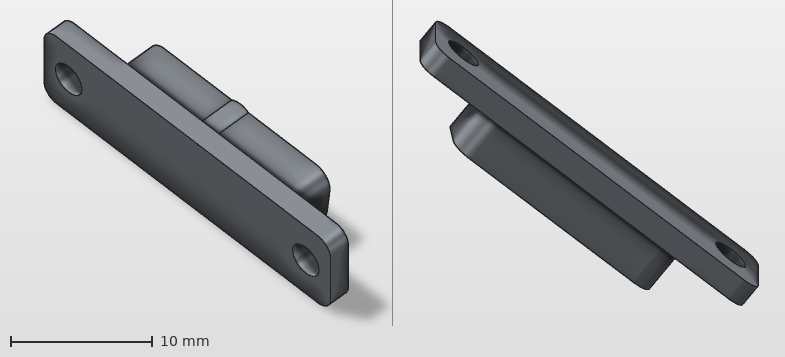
import cadquery as cq
import math

plate_length = 29.0
plate_height = 7.0
plate_thickness = 1.77
plate_corner_radius = 1.28
hole_diameter = 2.67
hole_spacing = 24.0

total_depth = 5.2
boss_depth = total_depth - plate_thickness
boss_width = 18.2
boss_height = 5.35
boss_corner_radius = 1.48
side_tilt = math.radians(6.5)

key_width = 1.68
key_rise = 0.25


def make_plate():
    plate = cq.Workplane("XZ").rect(plate_length, plate_height).extrude(-plate_thickness)
    plate = plate.edges("|Y").fillet(plate_corner_radius)
    holes = (
        cq.Workplane("XZ")
        .pushPoints([(-hole_spacing / 2, 0), (hole_spacing / 2, 0)])
        .circle(hole_diameter / 2)
        .extrude(-plate_thickness)
    )
    return plate.cut(holes)


def make_boss():
    corner_centre_x = boss_width / 2 - boss_corner_radius
    corner_reach = boss_corner_radius * (1 + math.sin(side_tilt)) / math.cos(side_tilt)
    top_x = corner_centre_x + corner_reach
    bottom_x = top_x - boss_height * math.tan(side_tilt)
    half_height = boss_height / 2
    boss = (
        cq.Workplane("XZ", origin=(0, plate_thickness, 0))
        .polyline([
            (-top_x, half_height),
            (top_x, half_height),
            (bottom_x, -half_height),
            (-bottom_x, -half_height),
        ])
        .close()
        .extrude(-boss_depth)
    )
    return boss.edges("|Y").fillet(boss_corner_radius)


def make_key():
    key_radius = ((key_width / 2) ** 2 + key_rise ** 2) / (2 * key_rise)
    axis_z = boss_height / 2 + key_rise - key_radius
    return (
        cq.Workplane("XZ", origin=(0, plate_thickness, 0))
        .center(0, axis_z)
        .circle(key_radius)
        .extrude(-boss_depth)
    )


result = make_plate().union(make_boss()).union(make_key())